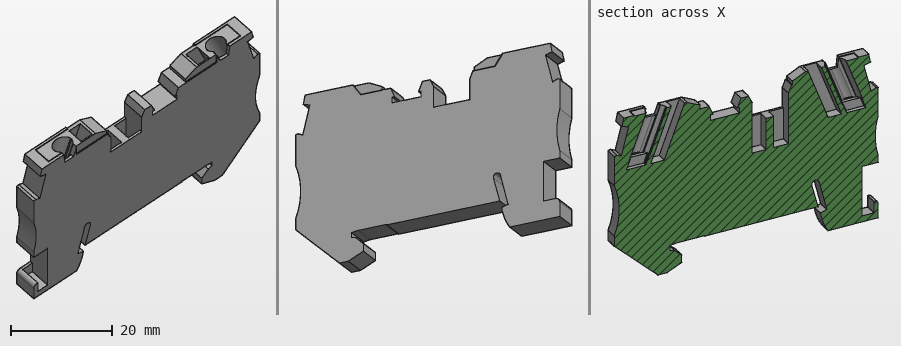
import math

import cadquery as cq

thickness = 5.2
length = 58.8
height = 37.75
half_length = length / 2
half_thickness = thickness / 2

shoulder_z = 35.35
block_top_z = 37.6
saddle_z = 29.3
rail_z = 6.05

cap_end_y = 27.3
lip_tip = (27.7, 35.8)
notch_top = (26.2, 35.4)
notch_bottom = (27.8, saddle_z)
ridge = (28.9, 29.75)
end_top_z = 29.6
cap_inner_y = 16.65
cap_foot_y = 14.95

marker_floor_z = 32.1
barb_z = 33.3
marker_left_y = 7.9
marker_right_y = 1.5
barb_reach = 0.5
barb_rise_y = 0.9
post_y = -0.5
saddle_start_y = -1.35
saddle_end_y = -9.35
saddle_rim_y = -10.05
saddle_lead_z = 33.7

block_half_width = 2.35
block_crest_y = 13.2
block_nose_y = 10.25
block_nose_z = 36.15

recess_x = (-2.05, 1.9)
recess_outer_y = 24.95
wire_center = (0.265, 19.95)
wire_radius_x = 1.75
wire_radius_y = 2.265
bore_drop = 9.7
entry_drop = 11.75
entry_tilt = math.radians(21)
channel_width = 1.05
channel_y = (17.9, 22.05)
guide_width = 0.35
guide_y = (17.65, 19.95)
tool_x = (-1.5, 2.05)
tool_y = (13.75, 16.65)
slot_start_x = 1.5
slot_y = (18.2, 21.6)
side_gap_floor_z = 35.3
side_gap_floor_y = (slot_y[0] + (block_top_z - side_gap_floor_z) * math.tan(entry_tilt), 21.3)

foot_wall_y = -25.8
foot_top_z = 4.05
foot_lip_inner_y = -28.35
foot_hollow_z = 1.45
foot_rim_inner_x = -2.0

saddle_pocket_width = 4.1
saddle_pockets_y = ((-4.35, -1.35), (-9.35, -6.1))
saddle_pocket_depth = 7.05


def prism(points, x_start, x_end):
    """Closed YZ polygon extruded between two X positions."""
    return cq.Workplane("YZ", origin=(x_start, 0, 0)).polyline(points).close().extrude(x_end - x_start)


def box(x_range, y_range, z_range):
    """Box spanning the given ranges."""
    ranges = (x_range, y_range, z_range)
    sizes = [high - low for low, high in ranges]
    corner = [low for low, high in ranges]
    return cq.Workplane("XY").box(*sizes, centered=False).translate(tuple(corner))


def both_ends(shape):
    """The shape together with its mirror image at the -Y end."""
    return shape.union(shape.mirror("XZ"))


def mirrored(point):
    return (-point[0], point[1])


def make_plate():
    """Outline of the plate, from the +Y end over the top and back along the underside."""
    outline = (
        cq.Workplane("YZ", origin=(-half_thickness, 0, 0))
        .moveTo(half_length, end_top_z)
        .lineTo(*ridge)
        .lineTo(*notch_bottom)
        .lineTo(*notch_top)
        .lineTo(*lip_tip)
        .lineTo(cap_end_y, height)
        .lineTo(cap_inner_y, height)
        .lineTo(cap_foot_y, shoulder_z)
        .lineTo(marker_left_y - barb_reach + barb_rise_y, shoulder_z)
        .lineTo(marker_left_y - barb_reach, barb_z)
        .lineTo(marker_left_y, barb_z)
        .lineTo(marker_left_y, marker_floor_z)
        .lineTo(marker_right_y, marker_floor_z)
        .lineTo(marker_right_y, barb_z)
        .lineTo(marker_right_y + barb_reach, barb_z)
        .lineTo(marker_right_y + barb_reach - barb_rise_y, shoulder_z)
        .lineTo(post_y, shoulder_z)
        .lineTo(saddle_start_y, saddle_lead_z)
        .lineTo(saddle_start_y, saddle_z)
        .lineTo(saddle_end_y, saddle_z)
        .lineTo(saddle_end_y, saddle_lead_z)
        .lineTo(saddle_rim_y, shoulder_z)
        .lineTo(-cap_foot_y, shoulder_z)
        .lineTo(-cap_inner_y, height)
        .lineTo(-cap_end_y, height)
        .lineTo(*mirrored(lip_tip))
        .lineTo(*mirrored(notch_top))
        .lineTo(*mirrored(notch_bottom))
        .lineTo(*mirrored(ridge))
        .lineTo(-half_length, end_top_z)
        .lineTo(-half_length, 23.15)
        .threePointArc((-28.75, 18.7), (-half_length, 14.25))
        .lineTo(-half_length, 12.6)
        .lineTo(foot_wall_y, 12.6)
        .lineTo(foot_wall_y, foot_top_z)
        .lineTo(foot_lip_inner_y, foot_top_z)
        .threePointArc((-29.15, 3.75), (-half_length, 3.2))
        .lineTo(-half_length, 0)
        .lineTo(-18.2, 0)
        .threePointArc((-17.05, 2.25), (-16.45, 4.6))
        .lineTo(-17.9, 5.0)
        .lineTo(-16.15, 11.7)
        .threePointArc((-15.3, 12.25), (-14.65, 11.3))
        .lineTo(-16.05, rail_z)
        .lineTo(9.2, rail_z)
        .lineTo(9.2, 6.2)
        .lineTo(15.45, 6.2)
        .lineTo(16.95, 6.0)
        .lineTo(16.95, 5.0)
        .lineTo(16.0, 4.7)
        .lineTo(14.3, 3.2)
        .lineTo(14.3, 1.45)
        .lineTo(17.65, 0)
        .lineTo(19.65, 0)
        .lineTo(half_length, 9.2)
        .lineTo(half_length, 11.5)
        .threePointArc((28.3, 17.2), (half_length, 22.95))
        .close()
    )
    return outline.extrude(thickness)


def make_block():
    """Narrower block that continues the cap inward and slopes down to a blunt nose."""
    profile = [
        (slot_y[0], shoulder_z),
        (slot_y[0], block_top_z),
        (block_crest_y, block_top_z),
        (block_nose_y, block_nose_z),
        (block_nose_y, shoulder_z),
    ]
    return prism(profile, -block_half_width, block_half_width)


def make_recess():
    """Shallow recess between the side rims, with the +X rim gone beside the block."""
    recess = box(recess_x, (cap_foot_y, recess_outer_y), (block_top_z, height))
    rim_gap = box((block_half_width, half_thickness), (cap_foot_y, slot_y[0]), (shoulder_z, height))
    step = box((recess_x[1], half_thickness), (cap_foot_y, slot_y[0]), (block_top_z, height))
    return recess.union(rim_gap).union(step)


def make_side_gap():
    """Gap through the +X rim that opens the wire entry sideways."""
    profile = [
        (slot_y[0], height),
        (slot_y[0], block_top_z),
        (side_gap_floor_y[0], side_gap_floor_z),
        (side_gap_floor_y[1], side_gap_floor_z),
        (slot_y[1], height),
    ]
    return prism(profile, slot_start_x, half_thickness)


def leaning_hole(flat_outline, drop):
    """Hole sunk from the block top by the given drop, along the tilted entry direction."""
    direction = cq.Vector(0, drop * math.tan(entry_tilt), -drop)
    solid = cq.Solid.extrudeLinear(flat_outline.wires().val(), [], direction)
    return cq.Workplane("XY").add(solid)


def flat_rectangle(x_range, y_range):
    center = (sum(x_range) / 2, sum(y_range) / 2)
    size_x = x_range[1] - x_range[0]
    size_y = y_range[1] - y_range[0]
    return cq.Workplane("XY", origin=(0, 0, block_top_z)).center(*center).rect(size_x, size_y)


def centered_on_wire(width):
    """X range of the given width about the wire entry."""
    return (wire_center[0] - width / 2, wire_center[0] + width / 2)


def make_entries():
    """Wire bore with its deeper channel and guide groove, the side slot and the tool pocket."""
    wire_outline = (
        cq.Workplane("XY", origin=(0, 0, block_top_z))
        .center(*wire_center)
        .ellipse(wire_radius_x, wire_radius_y)
    )
    deep_outlines = [
        flat_rectangle(centered_on_wire(channel_width), channel_y),
        flat_rectangle(centered_on_wire(guide_width), guide_y),
        flat_rectangle((slot_start_x, recess_x[1]), slot_y),
        flat_rectangle(tool_x, tool_y),
    ]
    holes = [leaning_hole(outline, entry_drop) for outline in deep_outlines]
    return [leaning_hole(wire_outline, bore_drop)] + holes


result = make_plate().union(both_ends(make_block()))
for cutter in [make_recess(), make_side_gap()] + make_entries():
    result = result.cut(both_ends(cutter))

saddle_pocket_x = (-saddle_pocket_width / 2, saddle_pocket_width / 2)
for pocket_y in saddle_pockets_y:
    pocket_z = (saddle_z - saddle_pocket_depth, saddle_z)
    result = result.cut(box(saddle_pocket_x, pocket_y, pocket_z))

foot_hollow = box(
    (foot_rim_inner_x, half_thickness),
    (foot_lip_inner_y, foot_wall_y),
    (foot_hollow_z, foot_top_z),
)
result = result.cut(foot_hollow)